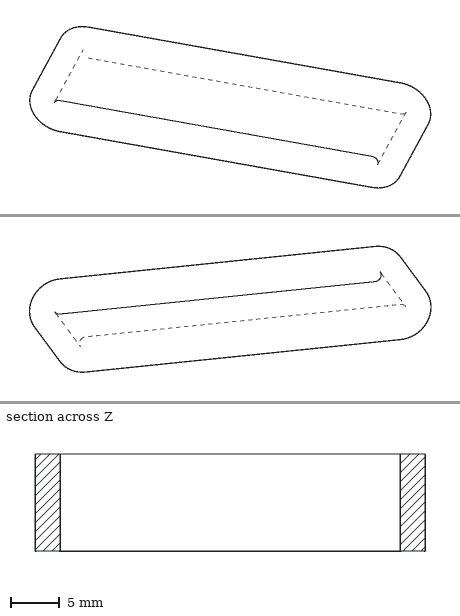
import cadquery as cq

length = 40.0
depth = 10.0
height = 6.5

wall = 2.6
slot_length = length - 2 * wall
slot_height = height - 2 * wall

rim_fillet = 0.1


def stadium_prism(prism_length, prism_height):
    """Round-ended prism along Y, centred on the origin."""
    return (
        cq.Workplane("XZ")
        .slot2D(prism_length, prism_height)
        .extrude(depth / 2, both=True)
    )


def round_rims(body):
    """Round the outer outline and the slot mouth on the front and back faces."""
    return body.faces("<Y or >Y").edges().fillet(rim_fillet)


bar = stadium_prism(length, height)
slot = stadium_prism(slot_length, slot_height)

result = round_rims(bar.cut(slot))